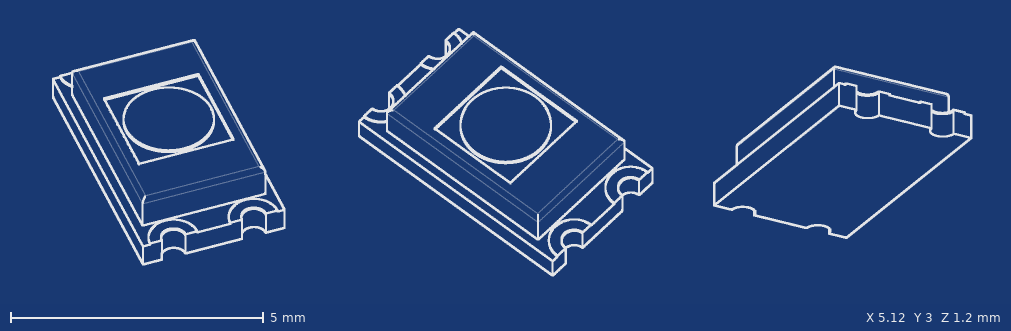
import cadquery as cq

board_length = 5.12
board_width = 3.0
board_height = 0.5
board_end_x = board_length / 2

notch_radius = 0.25
notch_offset_y = 0.85
pad_radius = 0.5
pad_thickness = 0.03
pad_inset = 0.01

housing_length = 4.0
housing_width = 2.6
total_height = 1.2
housing_fillet = 0.1

window_side = 2.0
window_depth = 0.05
lens_diameter = 1.8


def block(length, width, bottom, top):
    """Box centred on the Z axis between two heights."""
    return cq.Workplane("XY").workplane(offset=bottom).rect(length, width).extrude(top - bottom)


def notch_plane(offset_x, height):
    """Horizontal plane with a point for each of the four notches."""
    points = [
        (side_x * offset_x, side_y * notch_offset_y)
        for side_x in (-1, 1)
        for side_y in (-1, 1)
    ]
    return cq.Workplane("XY").workplane(offset=height).pushPoints(points)


def make_board():
    """Flat board with half-round notches through its end faces."""
    board = block(board_length, board_width, 0, board_height)
    return board.cut(notch_plane(board_end_x, 0).circle(notch_radius).extrude(board_height))


def pad_shape(radius):
    """Discs centred just inside the end faces, widened to straight sides that reach the faces."""
    discs = notch_plane(board_end_x - pad_inset, board_height).circle(radius).extrude(pad_thickness)
    end_strips = notch_plane(board_end_x, board_height).rect(2 * pad_inset, 2 * radius).extrude(pad_thickness)
    return discs.union(end_strips)


def make_pads():
    """Thin half rings around the notches, flush with the end faces."""
    board_limits = block(board_length, board_width, board_height, board_height + pad_thickness)
    return pad_shape(pad_radius).cut(pad_shape(notch_radius)).intersect(board_limits)


def make_housing():
    """Housing with rounded top edges and a shallow window holding the lens disc."""
    window_floor = total_height - window_depth
    housing = block(housing_length, housing_width, board_height, total_height)
    housing = housing.faces(">Z").edges().fillet(housing_fillet)
    housing = housing.cut(block(window_side, window_side, window_floor, total_height))
    lens = cq.Workplane("XY").workplane(offset=window_floor).circle(lens_diameter / 2).extrude(window_depth)
    return housing.union(lens)


result = make_board().union(make_pads()).union(make_housing())